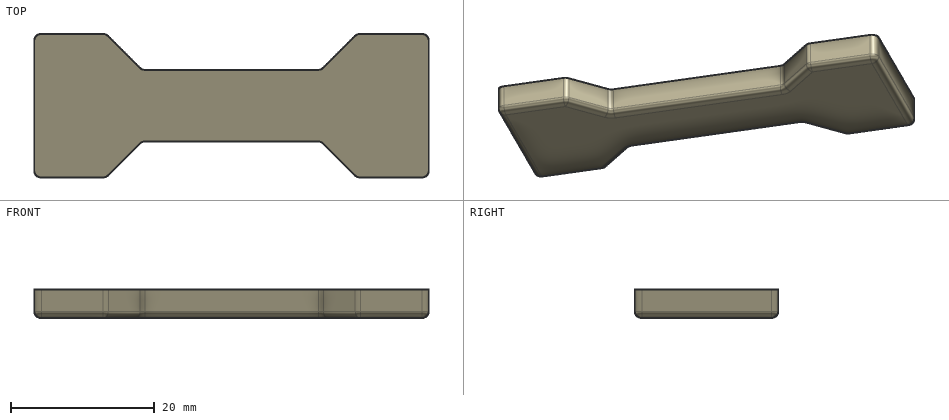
import cadquery as cq

length = 55.0
width = 20.0
thickness = 4.0

neck_width = 10.0
head_length = 10.0
edge_radius = 1.0

half_length = length / 2
half_width = width / 2
half_neck = neck_width / 2
shoulder_start = half_length - head_length
neck_end = shoulder_start - (half_width - half_neck)

upper_right = [
    (neck_end, half_neck),
    (shoulder_start, half_width),
    (half_length, half_width),
]
right_half = upper_right + [(x, -y) for x, y in reversed(upper_right)]

outline = right_half + [(-x, -y) for x, y in right_half]
plate = cq.Workplane("XY").polyline(outline).close().extrude(thickness)

rounded_plate = plate.edges("|Z").fillet(edge_radius)
result = rounded_plate.faces("<Z").edges().fillet(edge_radius)